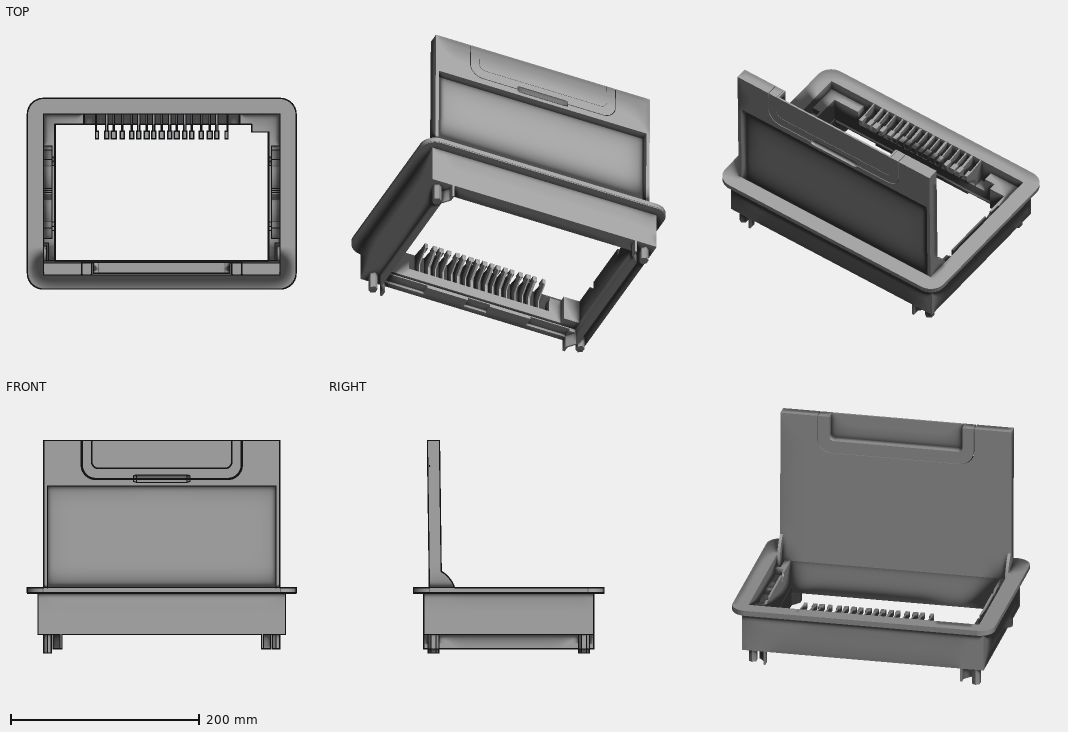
import cadquery as cq
import math

flange_x, flange_y, flange_corner = 285.97, 202.97, 17.0
flange_thick, flange_step, flange_step_inset = 5.0, 1.0, 0.5

box_x, box_y, box_bottom = 263.2, 181.0, -50.0
wall = 6.0
opening_x, opening_y = box_x - 2 * wall, box_y - 2 * wall

ledge_top = -12.3
window_x, window_y = 228.0, 147.4
lip_top, lip_width = -42.5, 0.9
slot_height, slot_depth = 3.2, 5.0
corner_block_x, corner_block_y = 18.4, 8.2

comb_half, comb_floor = 82.2, -31.0
comb_lead_in_x, comb_lead_in_z = 1.2, 6.0
fin_tip_y, fin_back_top, fin_tip_top, fin_tip_bottom, fin_heel = 58.4, -0.5, -4.2, -9.7, -20.7
fin_thick, fin_thick_wide = 1.4, 2.6
head_narrow, head_wide, head_length, head_height, head_rise = 4.5, 5.6, 8.2, 6.0, 1.2
end_fin_x, end_head_width = 69.9, 3.6
inner_fins = [
    (8.5, fin_thick_wide, head_narrow),
    (16.0, fin_thick, head_wide),
    (24.5, fin_thick_wide, head_narrow),
    (32.0, fin_thick, head_narrow),
    (42.0, fin_thick, head_narrow),
    (51.0, fin_thick, head_wide),
    (58.5, fin_thick_wide, head_narrow),
]

tab_inner_x, tab_outer_x, tab_height = 13.0, 60.3, 3.0

trough_inner_x, trough_y_max, trough_y_min = 116.4, 50.6, -47.6
trough_floor, trough_ramp_y, trough_ramp_rise = -20.0, 46.6, 1.5
pad_outer_y, pad_height = 36.6, 1.0
hump_outer_y, hump_inner_y, hump_rise = 29.6, 5.5, 1.8
stair_run, stair_rise, stair_count = 2.0, 1.0, 3
notch_y, notch_radius = 34.6, 4.6

ear_pocket_inner_x, ear_pocket_y, ear_pocket_floor = 120.6, -52.4, -26.0

foot_x, foot_y = 121.5, 80.0
foot_half_x, foot_half_y, foot_flat_y = 4.1, 5.8, 5.8
left_foot_bottom, right_foot_bottom = -69.47, -65.0
rail_bottom, rail_thick = -65.0, 2.2
rail_outer_x, rail_end_x = 115.8, 108.2
rail_bend_start_y, rail_bend_end_y = 74.0, 83.0

lid_top, lid_thick, lid_lean = 156.5, 13.1, 2.1
lid_front_y = -opening_y / 2
lean_slope = lid_lean / lid_top
recess_half_x, recess_top, recess_depth = 121.7, 108.0, 9.5
ear_inner_x, ear_radius, ear_centre_y, ear_centre_z, ear_bottom = 122.5, 33.3, -88.9, -11.0, -24.0

handle_half_x, handle_bottom, handle_corner, handle_gap = 84.6, 115.9, 14.4, 0.8
tray_half_x, tray_bottom, tray_corner, tray_groove = 74.8, 126.6, 7.5, 0.4
tray_groove_depth, tray_groove_end = 1.0, 1.3
tray_wall = 2.0
grip_half_x, grip_z, grip_radius, grip_end, grip_taper = 29.8, 115.9, 4.1, 3.2, 1.2


def block(x0, x1, y0, y1, z0, z1):
    """Box between two corners."""
    return cq.Workplane("XY").box(x1 - x0, y1 - y0, z1 - z0, centered=False).translate((x0, y0, z0))


def plate(x, y, z0, z1):
    """Rectangular plate centred on the Z axis."""
    return block(-x / 2, x / 2, -y / 2, y / 2, z0, z1)


def side_profile(points, x0, x1):
    """Polygon of (Y, Z) points extruded from x0 to x1."""
    return cq.Workplane("YZ").polyline(points).close().extrude(x1 - x0).translate((x0, 0, 0))


def both_sides(shape):
    """A shape together with its mirror image across X = 0."""
    return shape.union(shape.mirror("YZ"))


def frame_shell():
    flange = plate(flange_x, flange_y, -flange_thick, 0).edges("|Z").fillet(flange_corner)
    step_bottom = -flange_thick - flange_step
    step_x = flange_x - 2 * flange_step_inset
    step_y = flange_y - 2 * flange_step_inset
    step = plate(step_x, step_y, step_bottom, -flange_thick)
    step = step.edges("|Z").fillet(flange_corner - flange_step_inset)
    box = plate(box_x, box_y, box_bottom, step_bottom)
    shell = flange.union(step).union(box)
    shell = shell.cut(plate(opening_x, opening_y, ledge_top, 0))
    shell = shell.cut(plate(window_x, window_y, lip_top, ledge_top))
    shell = shell.cut(plate(window_x - 2 * lip_width, window_y, box_bottom, lip_top))
    corner_block = block(
        window_x / 2 - corner_block_x, window_x / 2,
        window_y / 2 - corner_block_y, window_y / 2,
        lip_top, ledge_top,
    )
    return shell.union(corner_block)


def comb_recess():
    """Lowered floor for the fins, widening slightly at the top of each end."""
    wide = comb_half + comb_lead_in_x
    outline = [
        (-comb_half, comb_floor), (comb_half, comb_floor),
        (comb_half, ledge_top - comb_lead_in_z), (wide, ledge_top),
        (-wide, ledge_top), (-comb_half, ledge_top - comb_lead_in_z),
    ]
    depth = (opening_y - window_y) / 2
    return cq.Workplane("XZ", origin=(0, opening_y / 2, 0)).polyline(outline).close().extrude(depth)


def fin(x, thick, head_x0, head_x1):
    """Fin with a sloping top and a thicker head at its tip."""
    outline = [
        (opening_y / 2, comb_floor), (opening_y / 2, fin_back_top),
        (fin_tip_y, fin_tip_top), (fin_tip_y, fin_tip_bottom),
        (window_y / 2, fin_heel), (window_y / 2, comb_floor),
    ]
    web = side_profile(outline, x - thick / 2, x + thick / 2)
    head_top = fin_tip_top + head_rise
    head = block(head_x0, head_x1, fin_tip_y, fin_tip_y + head_length, head_top - head_height, head_top)
    return web.union(head)


def comb():
    fins = fin(0, fin_thick, -head_wide / 2, head_wide / 2)
    for x, thick, head in inner_fins:
        fins = fins.union(both_sides(fin(x, thick, x - head / 2, x + head / 2)))
    end_face = end_fin_x + fin_thick / 2
    return fins.union(both_sides(fin(end_fin_x, fin_thick, end_face - end_head_width, end_face)))


def back_slot():
    """Slot along the back of the window, level with the foot of the ledge."""
    half_x = window_x / 2 - lip_width
    y0 = window_y / 2
    return block(-half_x, half_x, y0, y0 + slot_depth, lip_top - slot_height, lip_top)


def tab_reliefs():
    """Cuts under the back ledge that leave two tabs hanging down."""
    y0, y1 = window_y / 2, opening_y / 2
    top = box_bottom + tab_height
    middle = block(-tab_inner_x, tab_inner_x, y0, y1, box_bottom, top)
    outer = block(tab_outer_x, rail_end_x - rail_thick, y0, y1, box_bottom, top)
    return middle.union(both_sides(outer))


def hump(y0, y1, z, x0, x1):
    """Low barrel-shaped rise lying along X between y0 and y1."""
    profile = cq.Workplane("YZ").moveTo(y0, z)
    profile = profile.threePointArc(((y0 + y1) / 2, z + hump_rise), (y1, z)).close()
    return profile.extrude(x1 - x0).translate((x0, 0, 0))


def trough():
    """Trough in the +X ledge whose floor carries a pad, two humps and a stepped ridge."""
    x0, x1 = trough_inner_x, opening_x / 2
    pad_top = trough_floor + pad_height
    hollow = block(x0, x1, trough_y_min, trough_y_max, trough_floor, ledge_top)
    ramp = [
        (trough_y_max, trough_floor), (trough_ramp_y, trough_floor),
        (trough_ramp_y, trough_floor + trough_ramp_rise),
    ]
    hollow = hollow.cut(side_profile(ramp, x0, x1))
    hollow = hollow.cut(block(x0, x1, -pad_outer_y, pad_outer_y, trough_floor, pad_top))
    hollow = hollow.cut(hump(hump_inner_y, hump_outer_y, pad_top, x0, x1))
    hollow = hollow.cut(hump(-hump_outer_y, -hump_inner_y, pad_top, x0, x1))
    for i in range(stair_count):
        half = hump_inner_y - i * stair_run
        z = pad_top + i * stair_rise
        hollow = hollow.cut(block(x0, x1, -half, half, z, z + stair_rise))
    return hollow


def notch():
    """Notch through the wall beside the +X trough, stepping down in two quarter rounds towards Y = 0."""
    x0 = window_x / 2
    arc_mid = notch_radius * math.sqrt(0.5)
    y_start, y_end = notch_y + notch_radius, notch_y - notch_radius
    first_z = ledge_top - notch_radius
    second_z = first_z - notch_radius
    outline = cq.Workplane("YZ", origin=(x0, 0, 0)).moveTo(y_start, ledge_top)
    outline = outline.threePointArc((notch_y + arc_mid, ledge_top - arc_mid), (notch_y, first_z))
    outline = outline.threePointArc((y_end + arc_mid, first_z - arc_mid), (y_end, second_z))
    outline = outline.lineTo(y_end, ledge_top).close()
    return outline.extrude(trough_inner_x - x0)


def notches():
    return notch().union(notch().mirror("XZ"))


def ear_pocket():
    return block(
        ear_pocket_inner_x, opening_x / 2, -opening_y / 2, ear_pocket_y, ear_pocket_floor, ledge_top
    )


def foot(x, y, bottom):
    """Six-sided foot with points towards +Y and -Y."""
    flat = foot_flat_y / 2
    outline = [
        (0, foot_half_y), (foot_half_x, flat), (foot_half_x, -flat),
        (0, -foot_half_y), (-foot_half_x, -flat), (-foot_half_x, flat),
    ]
    column = cq.Workplane("XY").polyline(outline).close().extrude(box_bottom - bottom)
    return column.translate((x, y, bottom))


def rail():
    """Thin rail under the +X side, bent inwards at both ends."""
    end_y = box_y / 2
    outer = [
        (rail_end_x, -end_y), (rail_end_x, -rail_bend_end_y), (rail_outer_x, -rail_bend_start_y),
        (rail_outer_x, rail_bend_start_y), (rail_end_x, rail_bend_end_y), (rail_end_x, end_y),
    ]
    inner = [(x - rail_thick, y) for x, y in reversed(outer)]
    strip = cq.Workplane("XY").polyline(outer + inner).close().extrude(box_bottom - rail_bottom)
    return strip.translate((0, 0, rail_bottom))


def make_frame():
    frame = frame_shell().cut(comb_recess()).union(comb()).cut(back_slot()).cut(tab_reliefs())
    frame = frame.cut(both_sides(trough())).cut(both_sides(notches())).cut(both_sides(ear_pocket()))
    for y in (-foot_y, foot_y):
        frame = frame.union(foot(-foot_x, y, left_foot_bottom))
        frame = frame.union(foot(foot_x, y, right_foot_bottom))
    return frame.union(both_sides(rail()))


def leaning_slab(x0, x1, z0, z1, front_depth, back_depth):
    """Slab parallel to the lid, between two depths behind its front face."""
    def at(depth, z):
        return (lid_front_y + depth - lean_slope * z, z)
    outline = [at(front_depth, z0), at(back_depth, z0), at(back_depth, z1), at(front_depth, z1)]
    return side_profile(outline, x0, x1)


def u_column(half_x, bottom, corner):
    """Upright U-shaped region, open at the lid top, running through the lid along Y."""
    reach = 2 * lid_thick
    tall = block(-half_x, half_x, lid_front_y - reach, lid_front_y + reach, bottom, lid_top)
    return tall.edges("|Y and <Z").fillet(corner)


def grip():
    """Round finger groove with tapered ends, lying across the lower edge of the handle."""
    end_radius = grip_radius - grip_taper
    outline = [
        (-grip_half_x, 0), (-grip_half_x, end_radius), (-grip_half_x + grip_end, grip_radius),
        (grip_half_x - grip_end, grip_radius), (grip_half_x, end_radius), (grip_half_x, 0),
    ]
    bar = cq.Workplane("XY").polyline(outline).close().revolve(360, (0, 0, 0), (1, 0, 0))
    return bar.translate((0, lid_front_y - lean_slope * grip_z, grip_z))


def ear():
    """Rounded hinge ear on the back of the lid at its +X end."""
    disc = cq.Workplane("YZ", origin=(ear_inner_x, 0, 0)).center(ear_centre_y, ear_centre_z)
    disc = disc.circle(ear_radius).extrude(opening_x / 2 - ear_inner_x)
    lid_back = leaning_slab(ear_inner_x, opening_x / 2, ear_bottom, lid_top, lid_thick / 2, 4 * lid_thick)
    return disc.intersect(lid_back)


def make_lid():
    half_x = opening_x / 2
    lid = leaning_slab(-half_x, half_x, ledge_top, lid_top, 0, lid_thick)
    lid = lid.cut(leaning_slab(-recess_half_x, recess_half_x, ledge_top, recess_top, 0, recess_depth))
    seat = u_column(handle_half_x + handle_gap, handle_bottom - handle_gap, handle_corner + handle_gap)
    return lid.union(both_sides(ear())).cut(seat).cut(grip())


def make_handle():
    slab = leaning_slab(-handle_half_x, handle_half_x, handle_bottom, lid_top, 0, lid_thick)
    handle = slab.intersect(u_column(handle_half_x, handle_bottom, handle_corner))

    inner_half_x = tray_half_x - tray_groove
    inner_bottom = tray_bottom + tray_groove
    inner_corner = tray_corner - tray_groove
    outline = u_column(tray_half_x, tray_bottom, tray_corner)
    outline = outline.cut(u_column(inner_half_x, inner_bottom, inner_corner))
    front = leaning_slab(-tray_half_x, tray_half_x, tray_bottom, lid_top, 0, tray_groove_depth)
    top = leaning_slab(
        -tray_half_x, tray_half_x, lid_top - tray_groove_depth, lid_top, 0, lid_thick - tray_groove_end
    )
    handle = handle.cut(front.union(top).intersect(outline))

    hollow_half_x = inner_half_x - tray_wall
    hollow = leaning_slab(-hollow_half_x, hollow_half_x, tray_bottom, lid_top, tray_wall, lid_thick)
    hollow = hollow.intersect(u_column(hollow_half_x, inner_bottom + tray_wall, inner_corner - tray_wall))
    return handle.cut(hollow).cut(grip())


frame = make_frame()
lid = make_lid()
handle = make_handle()

result = cq.Compound.makeCompound([frame.solids().val(), lid.solids().val(), handle.solids().val()])